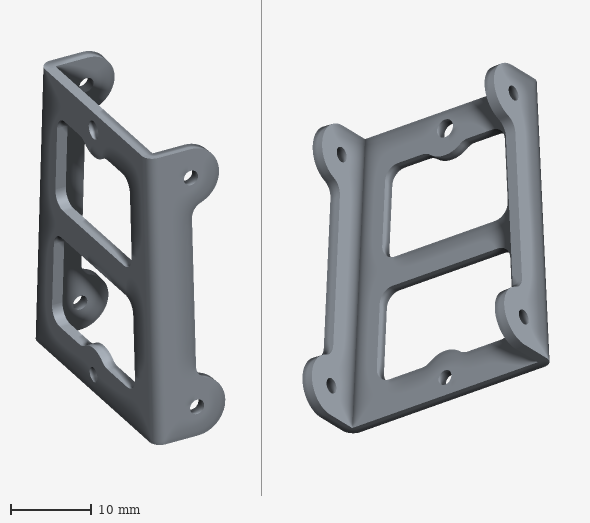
import cadquery as cq
import math

thickness = 1.5
plate_height = 40.0
overall_width = 32.0
half_taper = 2.0
depth = 10.0

tab_radius = 4.0
tab_blend_radius = 2.0
pivot_diameter = 2.0
tab_y = depth - tab_radius

window_height = 13.0
rib_height = 4.0
window_side_margin = 3.5
window_corner_radius = 2.0
hole_edge_distance = 2.5
top_hole_diameter = 2.5
bottom_hole_diameter = 2.0
lobe_radius = 3.75
lobe_blend_radius = 2.0

tilt = math.atan2(half_taper, plate_height)
bottom_half_width = overall_width / 2 - thickness * math.cos(tilt)
flange_length = plate_height / math.cos(tilt)
middle_z = plate_height / 2


def half_width(z):
    """Distance from the centre plane to the bend line at height z."""
    return bottom_half_width - half_taper * z / plate_height


def trapezoid(bottom_z, top_z, side_margin):
    """Tapered plate-thick slab whose sides follow the bend lines."""
    bottom_x = half_width(bottom_z) - side_margin
    top_x = half_width(top_z) - side_margin
    return (
        cq.Workplane("XZ")
        .polyline([(-bottom_x, bottom_z), (bottom_x, bottom_z), (top_x, top_z), (-top_x, top_z)])
        .close()
        .extrude(-thickness)
    )


def plate_cylinder(z, radius):
    """Cylinder through the plate on the centre plane."""
    return cq.Workplane("XZ").center(0, z).circle(radius).extrude(-thickness)


def window(bottom_z, lobe_z):
    """Rounded window cutter with a blended bite around a plate hole."""
    top_z = bottom_z + window_height
    cutter = trapezoid(bottom_z, top_z, window_side_margin)
    cutter = cutter.edges("|Y").fillet(window_corner_radius)
    cutter = cutter.cut(plate_cylinder(lobe_z, lobe_radius))
    bite_ends = cq.selectors.BoxSelector(
        (-lobe_radius, 0, bottom_z - thickness),
        (lobe_radius, thickness, top_z + thickness),
    )
    return cutter.edges("|Y").edges(bite_ends).fillet(lobe_blend_radius)


def make_plate():
    bottom_hole_z = hole_edge_distance
    top_hole_z = plate_height - hole_edge_distance
    plate = trapezoid(0, plate_height, 0)
    plate = plate.cut(window(middle_z - rib_height / 2 - window_height, bottom_hole_z))
    plate = plate.cut(window(middle_z + rib_height / 2, top_hole_z))
    plate = plate.cut(plate_cylinder(bottom_hole_z, bottom_hole_diameter / 2))
    return plate.cut(plate_cylinder(top_hole_z, top_hole_diameter / 2))


def make_flange():
    """Right-hand flange with its bend, leaning inward with the plate side."""
    origin = (bottom_half_width, 0, 0)
    outward = (math.cos(tilt), 0, math.sin(tilt))
    along_bend = (-math.sin(tilt), 0, math.cos(tilt))
    side = cq.Plane(origin=origin, xDir=(0, 1, 0), normal=outward)
    section = cq.Plane(origin=origin, xDir=outward, normal=along_bend)

    low_z = tab_radius
    high_z = flange_length - tab_radius
    blend_reach = math.sqrt((tab_radius + tab_blend_radius) ** 2 - tab_blend_radius ** 2)
    touch_scale = tab_radius / (tab_radius + tab_blend_radius)
    touch_y = tab_y + tab_blend_radius * touch_scale
    touch_rise = blend_reach * touch_scale

    flange = (
        cq.Workplane(side)
        .moveTo(thickness, 0)
        .lineTo(tab_y, 0)
        .threePointArc((depth, low_z), (touch_y, low_z + touch_rise))
        .radiusArc((tab_y, low_z + blend_reach), tab_blend_radius)
        .lineTo(tab_y, high_z - blend_reach)
        .radiusArc((touch_y, high_z - touch_rise), tab_blend_radius)
        .threePointArc((depth, high_z), (tab_y, flange_length))
        .lineTo(thickness, flange_length)
        .close()
        .extrude(thickness)
    )
    pivots = (
        cq.Workplane(side)
        .pushPoints([(tab_y, low_z), (tab_y, high_z)])
        .circle(pivot_diameter / 2)
        .extrude(thickness)
    )
    diagonal = thickness * math.sqrt(0.5)
    bend = (
        cq.Workplane(section)
        .moveTo(0, thickness)
        .lineTo(0, 0)
        .threePointArc((diagonal, thickness - diagonal), (thickness, thickness))
        .close()
        .extrude(flange_length)
    )
    return flange.cut(pivots).union(bend)


right_flange = make_flange()
left_flange = right_flange.mirror("YZ")
result = make_plate().union(right_flange).union(left_flange)